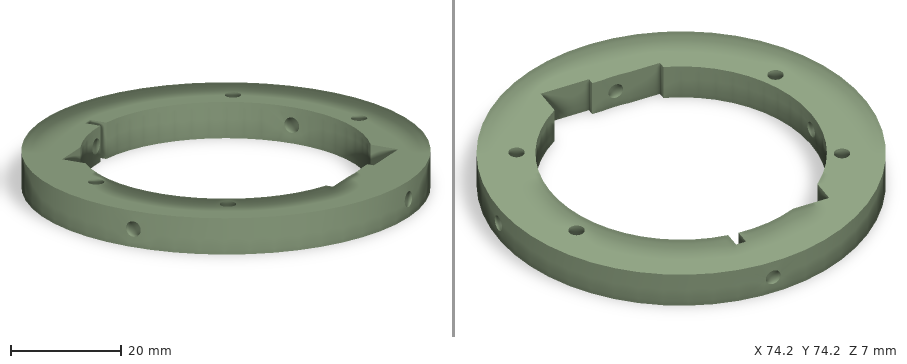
import cadquery as cq

outer_diameter = 74.2
bore_diameter = 52.8
thickness = 7.0

hole_diameter = 3.0
axial_hole_centers = [(-12.55, 27.5), (13.6, 26.6), (-13.2, -26.0), (13.6, -26.0)]

upper_recess_right = 27.6
upper_recess_top = 14.6
upper_recess_bottom = 4.8
flat_right = 26.3
flat_bottom = -8.9
lower_recess_left = -24.3
lower_recess_bottom = -17.8
keyway_left = -29.4
keyway_top = 3.6
keyway_bottom = 1.6


def box_between(x_min, x_max, y_min, y_max):
    """Full-thickness box between the given X and Y limits."""
    return (
        cq.Workplane("XY")
        .box(x_max - x_min, y_max - y_min, thickness, centered=False)
        .translate((x_min, y_min, -thickness / 2))
    )


def cross_hole(plane):
    """Pin through the whole ring along a diameter, at mid thickness."""
    return cq.Workplane(plane).circle(hole_diameter / 2).extrude(outer_diameter / 2, both=True)


ring = (
    cq.Workplane("XY")
    .circle(outer_diameter / 2)
    .circle(bore_diameter / 2)
    .extrude(thickness / 2, both=True)
)

recesses = [
    box_between(0, upper_recess_right, upper_recess_bottom, upper_recess_top),
    box_between(0, flat_right, flat_bottom, upper_recess_bottom),
    box_between(lower_recess_left, 0, lower_recess_bottom, 0),
    box_between(keyway_left, 0, keyway_bottom, keyway_top),
]
for recess in recesses:
    ring = ring.cut(recess)

axial_holes = (
    cq.Workplane("XY")
    .pushPoints(axial_hole_centers)
    .circle(hole_diameter / 2)
    .extrude(thickness / 2, both=True)
)
ring = ring.cut(axial_holes)

for plane in ("YZ", "XZ"):
    ring = ring.cut(cross_hole(plane))

result = ring